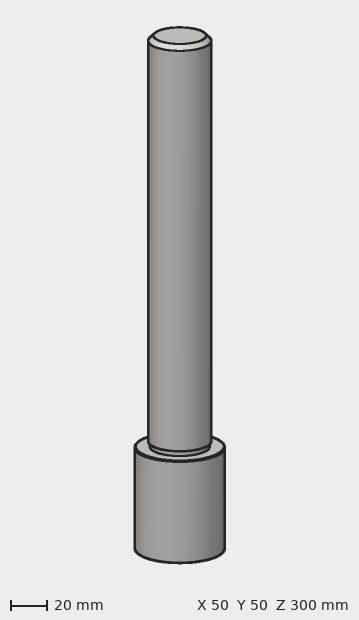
import cadquery as cq

total_length = 300.0
head_diameter = 50.0
head_height = 60.0
shank_diameter = 35.0

head_chamfer = 0.5
tip_chamfer = 3.0
groove_width = 3.0
groove_depth = 1.0

head_radius = head_diameter / 2
shank_radius = shank_diameter / 2
groove_radius = shank_radius - groove_depth
groove_top = head_height + groove_width

profile = (
    cq.Workplane("XZ")
    .moveTo(0, 0)
    .lineTo(head_radius - head_chamfer, 0)
    .lineTo(head_radius, head_chamfer)
    .lineTo(head_radius, head_height - head_chamfer)
    .lineTo(head_radius - head_chamfer, head_height)
    .lineTo(groove_radius, head_height)
    .lineTo(groove_radius, groove_top)
    .lineTo(shank_radius, groove_top)
    .lineTo(shank_radius, total_length - tip_chamfer)
    .lineTo(shank_radius - tip_chamfer, total_length)
    .lineTo(0, total_length)
    .close()
)

result = profile.revolve(360, (0, 0, 0), (0, 1, 0))